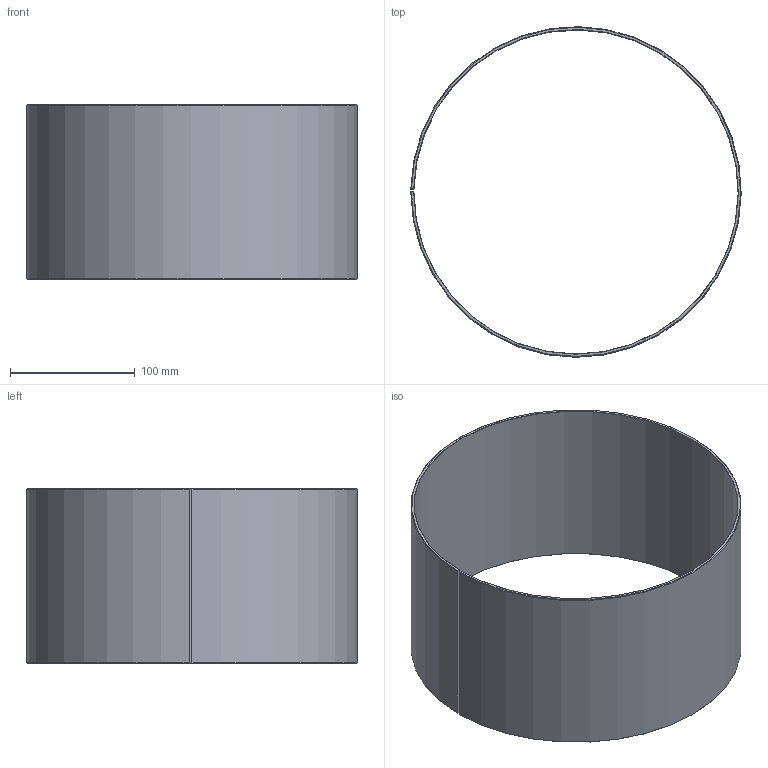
import cadquery as cq

outer_diameter = 265.0
wall_thickness = 2.5
height = 140.0
outer_chamfer = 0.5
inner_chamfer = 0.2
gap_angle = 1.0
gap_edge_angle = 180.0

outer_radius = outer_diameter / 2
inner_radius = outer_radius - wall_thickness


def wall_section():
    """Cross-section of the wall in the XZ plane, with all four rim corners chamfered."""
    return (
        cq.Workplane("XZ")
        .moveTo(inner_radius + inner_chamfer, 0)
        .lineTo(outer_radius - outer_chamfer, 0)
        .lineTo(outer_radius, outer_chamfer)
        .lineTo(outer_radius, height - outer_chamfer)
        .lineTo(outer_radius - outer_chamfer, height)
        .lineTo(inner_radius + inner_chamfer, height)
        .lineTo(inner_radius, height - inner_chamfer)
        .lineTo(inner_radius, inner_chamfer)
        .close()
    )


def split_sleeve():
    """Wall section swept around Z, stopping short of a full turn to leave the gap."""
    sleeve = wall_section().revolve(360.0 - gap_angle, (0, 0, 0), (0, 1, 0))
    return sleeve.rotate((0, 0, 0), (0, 0, 1), gap_edge_angle)


result = split_sleeve()